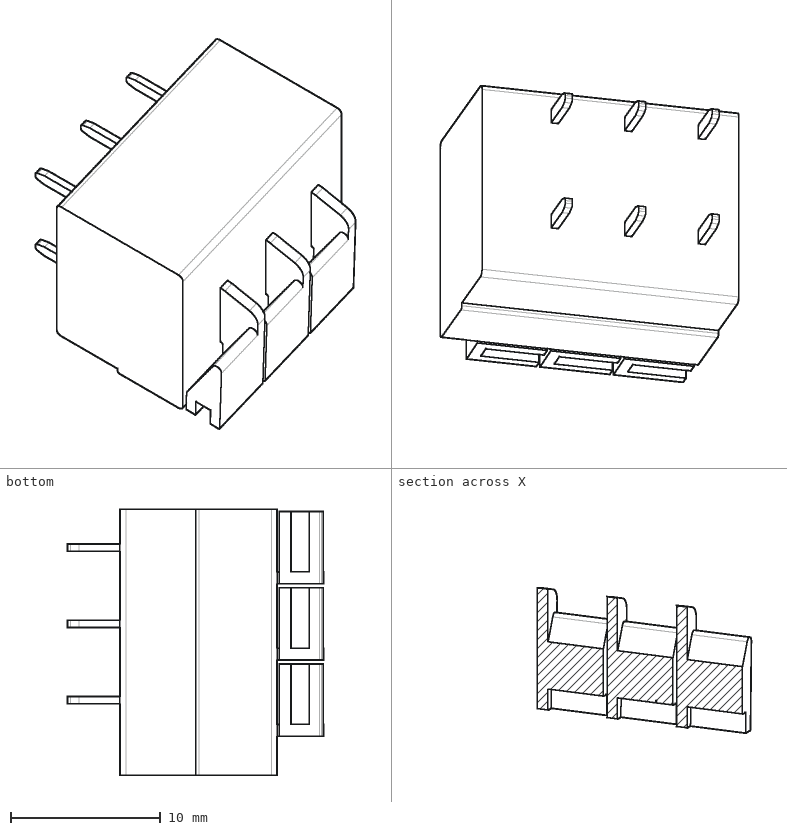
import cadquery as cq
import math


HOUSING_DEPTH = 10.49
HOUSING_LENGTH = 17.78
HOUSING_HEIGHT = 14.22
HOUSING_RADIUS = 0.4
STEP_X = 5.05
STEP_HEIGHT = 0.41
STEP_RADIUS = 0.21

POLES = 3
POLE_PITCH = 5.09
FIRST_POLE_Y = 2.58

PIN_LENGTH = 3.5
PIN_HEIGHT = 0.96
PIN_THICKNESS = 0.5
PIN_TAPER_LENGTH = 0.75
PIN_TIP_HEIGHT = 0.57
PIN_TIP_RADIUS = 0.25
PIN_EMBED = 0.35
LOWER_PIN_Z = 4.8
PIN_ROW_SPACING = 7.61
PIN_ROWS = (LOWER_PIN_Z, LOWER_PIN_Z + PIN_ROW_SPACING)

LEVER_WIDTH = 4.84
LEVER_DEPTH = 2.8
LEVER_TILT = 1.4
LEVER_GAP = 0.15
LEVER_BASE_Z = 0.07
LEVER_TOE_RADIUS = 0.1

WALL_THICKNESS = 0.8
WALL_OUTER_HEIGHT = 8.04
WALL_TOP_SLOPE = 15
WALL_RADIUS = 1.0
WALL_INNER_HEIGHT = WALL_OUTER_HEIGHT + LEVER_DEPTH * math.tan(math.radians(WALL_TOP_SLOPE))

WEB_BOTTOM_Z = 3.13
WEB_OVERLAP = 0.18
WEB_RADIUS = 0.18

WEDGE_HEEL_HEIGHT = 1.87
WEDGE_ANGLE = 25
WEDGE_TIP_RADIUS = 0.37
WEDGE_APEX_HEIGHT = WEDGE_HEEL_HEIGHT + LEVER_DEPTH / math.tan(math.radians(WEDGE_ANGLE))

NOTCH_START = 0.78
NOTCH_WIDTH = 1.21
NOTCH_HEIGHT = 1.45


def extrude_along_y(profile, start, length):
    """Extrude an XZ profile from Y = start towards +Y."""
    return profile.extrude(-length).translate((0, start, 0))


def xz_polygon(points):
    return cq.Workplane("XZ").polyline(points).close()


def make_housing():
    block = cq.Workplane("XY").box(
        HOUSING_DEPTH, HOUSING_LENGTH, HOUSING_HEIGHT, centered=False
    )
    step = cq.Workplane("XY").box(STEP_X, HOUSING_LENGTH, STEP_HEIGHT, centered=False)
    block = block.cut(step)
    block = block.edges("|Y and (<X or >X)").fillet(HOUSING_RADIUS)
    step_edge = cq.selectors.NearestToPointSelector((STEP_X, HOUSING_LENGTH / 2, 0))
    return block.edges("|Y").edges(step_edge).fillet(STEP_RADIUS)


def make_pin(pole_y, z):
    half_height = PIN_HEIGHT / 2
    half_tip = PIN_TIP_HEIGHT / 2
    taper_x = PIN_TAPER_LENGTH - PIN_LENGTH
    outline = xz_polygon([
        (PIN_EMBED, z - half_height),
        (taper_x, z - half_height),
        (-PIN_LENGTH, z - half_tip),
        (-PIN_LENGTH, z + half_tip),
        (taper_x, z + half_height),
        (PIN_EMBED, z + half_height),
    ])
    pin = extrude_along_y(outline, pole_y - PIN_THICKNESS / 2, PIN_THICKNESS)
    return pin.edges("|Y and <X").fillet(PIN_TIP_RADIUS)


def make_upright_lever(front_y):
    """Wedge and side wall before tilting."""
    wedge_outline = xz_polygon([
        (0, 0),
        (LEVER_DEPTH, 0),
        (LEVER_DEPTH, WEDGE_APEX_HEIGHT),
        (0, WEDGE_HEEL_HEIGHT),
    ])
    wedge_width = LEVER_WIDTH - WALL_THICKNESS
    wedge = extrude_along_y(wedge_outline, front_y, wedge_width)
    wedge = wedge.edges("|Y and >Z").fillet(WEDGE_TIP_RADIUS)
    wedge = wedge.edges("|Y and >X and <Z").fillet(LEVER_TOE_RADIUS)
    notch = cq.Workplane("XY").box(NOTCH_WIDTH, wedge_width, NOTCH_HEIGHT, centered=False)
    wedge = wedge.cut(notch.translate((NOTCH_START, front_y, 0)))

    wall_outline = xz_polygon([
        (0, 0),
        (LEVER_DEPTH, 0),
        (LEVER_DEPTH, WALL_OUTER_HEIGHT),
        (0, WALL_INNER_HEIGHT),
    ])
    wall = extrude_along_y(wall_outline, front_y + wedge_width, WALL_THICKNESS)
    wall = wall.edges("|Y and >X and <Z").fillet(LEVER_TOE_RADIUS)
    shoulder = cq.selectors.NearestToPointSelector(
        (LEVER_DEPTH, front_y + LEVER_WIDTH, WALL_OUTER_HEIGHT)
    )
    wall = wall.edges("|Y").edges(shoulder).fillet(WALL_RADIUS)
    return wedge.union(wall)


def make_lever(pole_y):
    front_y = pole_y - LEVER_WIDTH / 2
    lever = make_upright_lever(front_y).rotate((0, 0, 0), (0, 1, 0), LEVER_TILT)
    return lever.translate((HOUSING_DEPTH + LEVER_GAP, 0, LEVER_BASE_Z))


def make_web(pole_y):
    """Strip closing the gap between housing and lever wall."""
    tilt = math.radians(LEVER_TILT)
    inner_x = HOUSING_DEPTH + LEVER_GAP
    wall_corner_x = inner_x + WALL_INNER_HEIGHT * math.sin(tilt)
    wall_corner_z = LEVER_BASE_Z + WALL_INNER_HEIGHT * math.cos(tilt)
    foot_x = inner_x + (WEB_BOTTOM_Z - LEVER_BASE_Z) * math.tan(tilt)
    top_slope = math.radians(WALL_TOP_SLOPE) - tilt
    top_span = wall_corner_x - HOUSING_DEPTH
    top_radius = top_span / math.sin(top_slope)
    top_z = wall_corner_z + top_span * math.tan(top_slope / 2)
    outline = (
        cq.Workplane("XZ")
        .moveTo(HOUSING_DEPTH - WEB_OVERLAP, WEB_BOTTOM_Z)
        .lineTo(HOUSING_DEPTH, WEB_BOTTOM_Z)
        .radiusArc((foot_x, WEB_BOTTOM_Z - WEB_RADIUS), WEB_RADIUS)
        .lineTo(wall_corner_x, wall_corner_z)
        .radiusArc((HOUSING_DEPTH, top_z), -top_radius)
        .lineTo(HOUSING_DEPTH - WEB_OVERLAP, top_z)
        .close()
    )
    wall_y = pole_y + LEVER_WIDTH / 2 - WALL_THICKNESS
    return extrude_along_y(outline, wall_y, WALL_THICKNESS)


result = make_housing()
for pole in range(POLES):
    pole_y = FIRST_POLE_Y + pole * POLE_PITCH
    for pin_z in PIN_ROWS:
        result = result.union(make_pin(pole_y, pin_z))
    result = result.union(make_lever(pole_y)).union(make_web(pole_y))